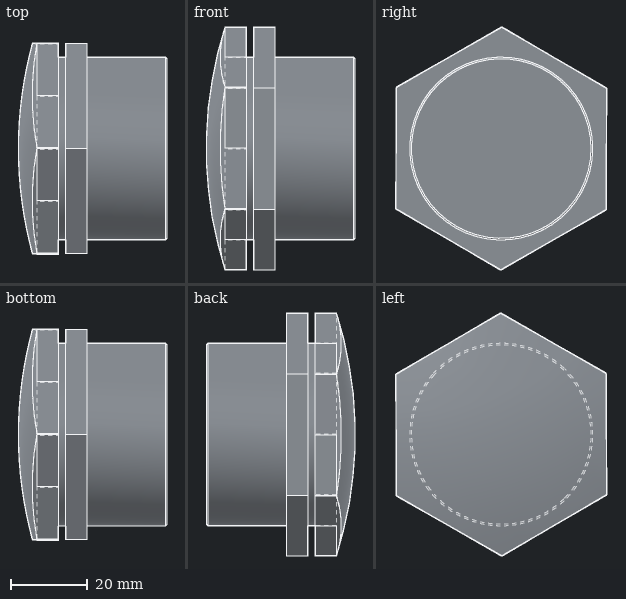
import cadquery as cq
import math

HEX_RADIUS = 31.75
HEX_SIDES = 6
HEAD_TWIST = 0.5

TOTAL_LENGTH = 39.0
HEAD_CORNER_X = 4.95
WEDGE_FRONT_X = 5.0
HEAD_BACK_X = 10.55
COLLAR_FRONT_X = 12.45
COLLAR_BACK_X = 18.05

BARREL_DIAMETER = 47.8
BARREL_CHAMFER = 0.45


def corner(index, twist=0.0):
    """Y and Z of a hexagon corner; corner 0 is at the top, going towards -Y."""
    angle = math.radians(index * 360 / HEX_SIDES - twist)
    return (-HEX_RADIUS * math.sin(angle), HEX_RADIUS * math.cos(angle))


def hexagon(x_front, x_back, twist=0.0):
    """Hexagonal prism along X."""
    points = [corner(i, twist) for i in range(HEX_SIDES)]
    return (
        cq.Workplane("YZ", origin=(x_front, 0, 0))
        .polyline(points).close().extrude(x_back - x_front)
    )


def make_head():
    """Hexagonal head whose front is cut to a spherical dome."""
    dome_radius = (HEX_RADIUS**2 + HEAD_CORNER_X**2) / (2 * HEAD_CORNER_X)
    dome = cq.Workplane("XY").sphere(dome_radius).translate((dome_radius, 0, 0))
    return hexagon(0, HEAD_BACK_X, HEAD_TWIST).intersect(dome)


def make_barrel():
    """Round barrel with a chamfered free end."""
    return (
        cq.Workplane("YZ", origin=(HEAD_BACK_X, 0, 0))
        .circle(BARREL_DIAMETER / 2).extrude(TOTAL_LENGTH - HEAD_BACK_X)
        .faces(">X").edges().chamfer(BARREL_CHAMFER)
    )


def make_plug():
    """Head, barrel and hexagonal collar in one piece."""
    collar = hexagon(COLLAR_FRONT_X, COLLAR_BACK_X)
    return make_head().union(make_barrel()).union(collar)


def make_wedges():
    """Thin wedges on half of each head flat, where a square-on hexagon stands proud of it."""
    square_on = hexagon(WEDGE_FRONT_X, HEAD_BACK_X)
    return square_on.cut(hexagon(WEDGE_FRONT_X, HEAD_BACK_X, HEAD_TWIST))


plug = make_plug()
wedges = make_wedges()
result = cq.Compound.makeCompound([plug.val(), *wedges.solids().vals()])